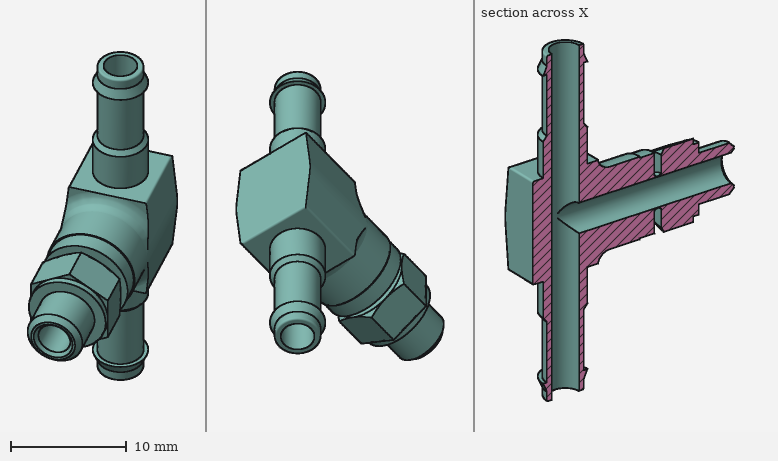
import cadquery as cq
import math

total_height = 33.4
stud_tip_y = -18.1
bore_diameter = 2.9

body_depth = 7.0
body_height = 10.02
body_width = 8.0
side_taper_angle = 5.8
side_crown_radius = 7.5
body_edge_radius = 0.2

hose_diameter = 4.0
collar_diameter = 4.8
collar_top_z = 9.0
collar_chamfer_height = 0.47
barb_diameter = collar_diameter
barb_base_z = 14.83
barb_top_z = 15.73
tail_tip_radius = 0.17

sleeve_diameter = body_width
sleeve_fillet_radius = 1.2
sleeve_step_y = -7.98
sleeve_end_y = -9.6
sleeve_end_diameter = 7.8

neck_diameter = 3.15
neck_end_diameter = 3.4
hex_back_y = -10.25
hex_front_y = -13.73
hex_across_flats = 7.0
hex_chamfer_angle = 30.0
washer_face_y = -14.33
washer_diameter = hex_across_flats
stud_diameter = 5.0
stud_chamfer = 0.5
stud_mouth_diameter = 3.55


def cylinder_y(diameter, start_y, end_y):
    """Round bar about the Y axis between two Y positions, running toward -Y."""
    return cq.Workplane("XZ", origin=(0, start_y, 0)).circle(diameter / 2).extrude(start_y - end_y)


def revolve_about_y(profile):
    """Solid of revolution about the Y axis from (radius, y) points."""
    return cq.Workplane("XY").polyline(profile).close().revolve(360, (0, 0, 0), (0, 1, 0))


def make_block():
    """Sharp-edged block with slightly tapered, crowned sides."""
    taper = math.radians(side_taper_angle)
    crown_x = body_width / 2
    crown_z = side_crown_radius * math.sin(taper)
    tangent_x = crown_x - side_crown_radius * (1 - math.cos(taper))
    top_z = body_height / 2
    top_x = tangent_x - (top_z - crown_z) * math.tan(taper)
    return (
        cq.Workplane("XZ", origin=(0, body_depth / 2, 0))
        .moveTo(-top_x, top_z)
        .lineTo(top_x, top_z)
        .lineTo(tangent_x, crown_z)
        .threePointArc((crown_x, 0), (tangent_x, -crown_z))
        .lineTo(top_x, -top_z)
        .lineTo(-top_x, -top_z)
        .lineTo(-tangent_x, -crown_z)
        .threePointArc((-crown_x, 0), (-tangent_x, crown_z))
        .close()
        .extrude(body_depth)
    )


def make_body():
    """Block with its top and bottom edges rounded on the sides and back."""
    return make_block().faces("|Z").edges("not(<Y)").fillet(body_edge_radius)


def make_root_fillet():
    """Concave flare between body and sleeve, trimmed to the body outline."""
    face_y = -body_depth / 2
    flare_end_y = face_y - sleeve_fillet_radius
    sleeve_radius = sleeve_diameter / 2
    flare_radius = sleeve_radius + sleeve_fillet_radius
    diagonal = sleeve_fillet_radius * math.sqrt(0.5)
    flare = (
        cq.Workplane("XY")
        .moveTo(0, face_y)
        .lineTo(flare_radius, face_y)
        .threePointArc(
            (flare_radius - diagonal, flare_end_y + diagonal),
            (sleeve_radius, flare_end_y),
        )
        .lineTo(0, flare_end_y)
        .close()
        .revolve(360, (0, 0, 0), (0, 1, 0))
    )
    outline = make_block().translate((0, -body_depth, 0))
    return flare.intersect(outline)


def make_hose_tail():
    """Upper barbed hose tail, starting at the centre of the body."""
    hose_radius = hose_diameter / 2
    collar_radius = collar_diameter / 2
    tip_z = total_height / 2
    profile = [
        (0, 0),
        (collar_radius, 0),
        (collar_radius, collar_top_z - collar_chamfer_height),
        (hose_radius, collar_top_z),
        (hose_radius, barb_base_z),
        (barb_diameter / 2, barb_base_z),
        (hose_radius, barb_top_z),
        (hose_radius, tip_z),
        (0, tip_z),
    ]
    tail = cq.Workplane("XZ").polyline(profile).close().revolve(360, (0, 0, 0), (0, 1, 0))
    return tail.faces(">Z").edges().fillet(tail_tip_radius)


def make_sleeve():
    """Stepped swivel sleeve."""
    sleeve = cylinder_y(sleeve_diameter, -body_depth / 2 - sleeve_fillet_radius, sleeve_step_y)
    return sleeve.union(cylinder_y(sleeve_end_diameter, sleeve_step_y, sleeve_end_y))


def make_neck():
    """Short hourglass neck between the sleeve and the hexagon."""
    end_radius = neck_end_diameter / 2
    middle_y = (sleeve_end_y + hex_back_y) / 2
    return (
        cq.Workplane("XY")
        .moveTo(0, sleeve_end_y)
        .lineTo(end_radius, sleeve_end_y)
        .threePointArc((neck_diameter / 2, middle_y), (end_radius, hex_back_y))
        .lineTo(0, hex_back_y)
        .close()
        .revolve(360, (0, 0, 0), (0, 1, 0))
    )


def make_hexagon():
    """Hexagon with corners toward +Z and -Z, its corners chamfered at the neck end."""
    corner_radius = hex_across_flats / math.sqrt(3)
    flat_radius = hex_across_flats / 2
    chamfer_depth = (corner_radius - flat_radius) * math.tan(math.radians(hex_chamfer_angle))
    hexagon = (
        cq.Workplane("XZ", origin=(0, hex_back_y, 0))
        .transformed(rotate=(0, 0, 90))
        .polygon(6, 2 * corner_radius)
        .extrude(hex_back_y - hex_front_y)
    )
    envelope_profile = [
        (0, hex_back_y),
        (flat_radius, hex_back_y),
        (corner_radius, hex_back_y - chamfer_depth),
        (corner_radius, hex_front_y),
        (0, hex_front_y),
    ]
    envelope = revolve_about_y(envelope_profile)
    return hexagon.intersect(envelope)


def make_stud():
    """Washer face and stud with a chamfered tip."""
    washer = cylinder_y(washer_diameter, hex_front_y, washer_face_y)
    stud = cylinder_y(stud_diameter, washer_face_y, stud_tip_y).faces("<Y").chamfer(stud_chamfer)
    return washer.union(stud)


def make_bores():
    """Through bore along Z joined by the countersunk stud bore along Y."""
    hose_bore = cq.Workplane("XY").circle(bore_diameter / 2).extrude(total_height / 2, both=True)
    stud_bore = cylinder_y(bore_diameter, 0, stud_tip_y)
    mouth_depth = (stud_mouth_diameter - bore_diameter) / 2
    mouth_profile = [
        (0, stud_tip_y),
        (stud_mouth_diameter / 2, stud_tip_y),
        (bore_diameter / 2, stud_tip_y + mouth_depth),
        (0, stud_tip_y + mouth_depth),
    ]
    mouth = revolve_about_y(mouth_profile)
    return hose_bore.union(stud_bore).union(mouth)


upper_tail = make_hose_tail()
lower_tail = upper_tail.mirror("XY")

result = (
    make_body()
    .union(make_root_fillet())
    .union(make_sleeve())
    .union(upper_tail)
    .union(lower_tail)
    .union(make_neck())
    .union(make_hexagon())
    .union(make_stud())
    .cut(make_bores())
)